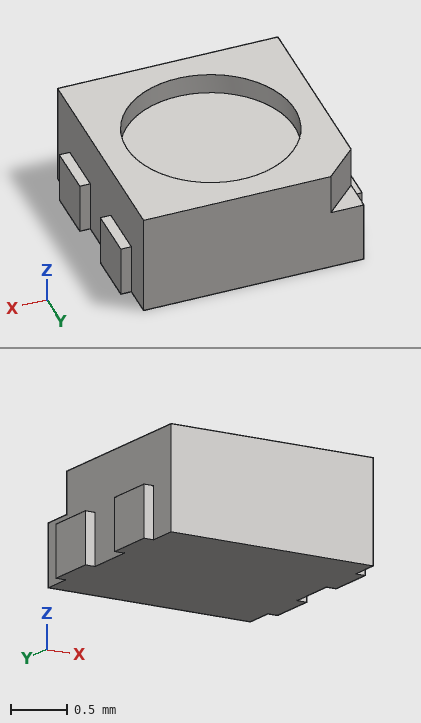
import cadquery as cq

overall_length = 2.3
body_side = 2.1
body_height = 1.0

recess_diameter = 1.6
recess_depth = 0.2

notch_leg = 0.315
notch_depth = 0.4

terminal_width = body_height / 2
terminal_height = body_height / 2
terminal_pitch = body_height

half_side = body_side / 2


def make_body():
    """Square block standing on the XY plane."""
    return cq.Workplane("XY").box(body_side, body_side, body_height, centered=(True, True, False))


def make_recess():
    """Shallow cylinder that opens the top face."""
    return (
        cq.Workplane("XY")
        .workplane(offset=body_height - recess_depth)
        .circle(recess_diameter / 2)
        .extrude(recess_depth)
    )


def make_corner_notch():
    """Triangular prism at the upper part of the -X, +Y corner."""
    return (
        cq.Workplane("XY")
        .workplane(offset=body_height - notch_depth)
        .moveTo(-half_side, half_side)
        .lineTo(-half_side + notch_leg, half_side)
        .lineTo(-half_side, half_side - notch_leg)
        .close()
        .extrude(notch_depth)
    )


def make_terminal_pair():
    """Two bars through the body, each showing as a terminal at both ends."""
    return (
        cq.Workplane("XY")
        .pushPoints([(0, -terminal_pitch / 2), (0, terminal_pitch / 2)])
        .rect(overall_length, terminal_width)
        .extrude(terminal_height)
    )


result = make_body().union(make_terminal_pair()).cut(make_recess()).cut(make_corner_notch())